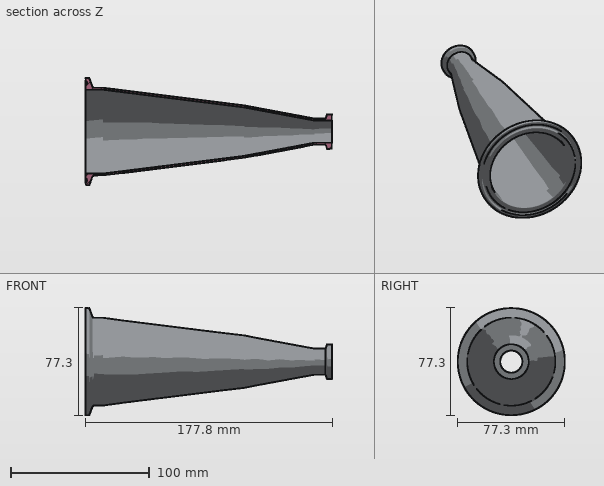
import cadquery as cq
import math

length = 177.8

wall = 1.6
large_tube_radius = 63.5 / 2
small_tube_radius = 19.0 / 2
mid_radius = 19.0

large_cone_start = 12.6
cone_break = 114.1
small_cone_end = 165.0

flange_angle = math.radians(20)
large_flange_radius = 77.3 / 2
large_rim_width = 2.8
small_flange_radius = 25.0 / 2
small_rim_width = 3.7
rim_fillet = 0.4
root_fillet = 1.2
mouth_fillet = 0.5

groove_center_radius = 35.2
groove_width = 2.5
groove_depth = 1.0
groove_inner_radius = groove_center_radius - groove_width / 2
groove_outer_radius = groove_center_radius + groove_width / 2


def flange_height(flange_radius, tube_radius):
    """Axial length of the sloped back of a clamp flange."""
    return (flange_radius - tube_radius) * math.tan(flange_angle)


def revolve_about_x(profile):
    return profile.close().revolve(360, (0, 0, 0), (1, 0, 0))


def edges_at(x, radius):
    """Selector for circular edges at station x with at most the given radius."""
    reach = 0.02
    low = (x - reach, -radius - reach, -radius - reach)
    high = (x + reach, radius + reach, radius + reach)
    return cq.selectors.BoxSelector(low, high, boundingbox=True)


def make_body():
    large_flange_end = large_rim_width + flange_height(large_flange_radius, large_tube_radius)
    small_rim_start = length - small_rim_width
    small_flange_start = small_rim_start - flange_height(small_flange_radius, small_tube_radius)
    outline = (
        cq.Workplane("XY")
        .moveTo(0, 0)
        .lineTo(0, large_flange_radius)
        .lineTo(large_rim_width, large_flange_radius)
        .lineTo(large_flange_end, large_tube_radius)
        .lineTo(large_cone_start, large_tube_radius)
        .lineTo(cone_break, mid_radius)
        .lineTo(small_cone_end, small_tube_radius)
        .lineTo(small_flange_start, small_tube_radius)
        .lineTo(small_rim_start, small_flange_radius)
        .lineTo(length, small_flange_radius)
        .lineTo(length, 0)
    )
    body = revolve_about_x(outline)

    rims = (
        (0, large_flange_radius),
        (large_rim_width, large_flange_radius),
        (small_rim_start, small_flange_radius),
        (length, small_flange_radius),
    )
    for x, radius in rims:
        body = body.edges(edges_at(x, radius)).fillet(rim_fillet)
    return body.edges(edges_at(large_flange_end, large_tube_radius)).fillet(root_fillet)


def make_bore():
    large_bore_radius = large_tube_radius - wall
    small_bore_radius = small_tube_radius - wall
    return revolve_about_x(
        cq.Workplane("XY")
        .moveTo(0, 0)
        .lineTo(0, large_bore_radius)
        .lineTo(large_cone_start, large_bore_radius)
        .lineTo(cone_break, mid_radius - wall)
        .lineTo(small_cone_end, small_bore_radius)
        .lineTo(length, small_bore_radius)
        .lineTo(length, 0)
    )


def make_gasket_groove():
    return revolve_about_x(
        cq.Workplane("XY")
        .moveTo(0, groove_inner_radius)
        .threePointArc((groove_depth, groove_center_radius), (0, groove_outer_radius))
    )


reducer = make_body().cut(make_bore()).cut(make_gasket_groove())

result = reducer.edges(edges_at(0, groove_outer_radius)).fillet(mouth_fillet)